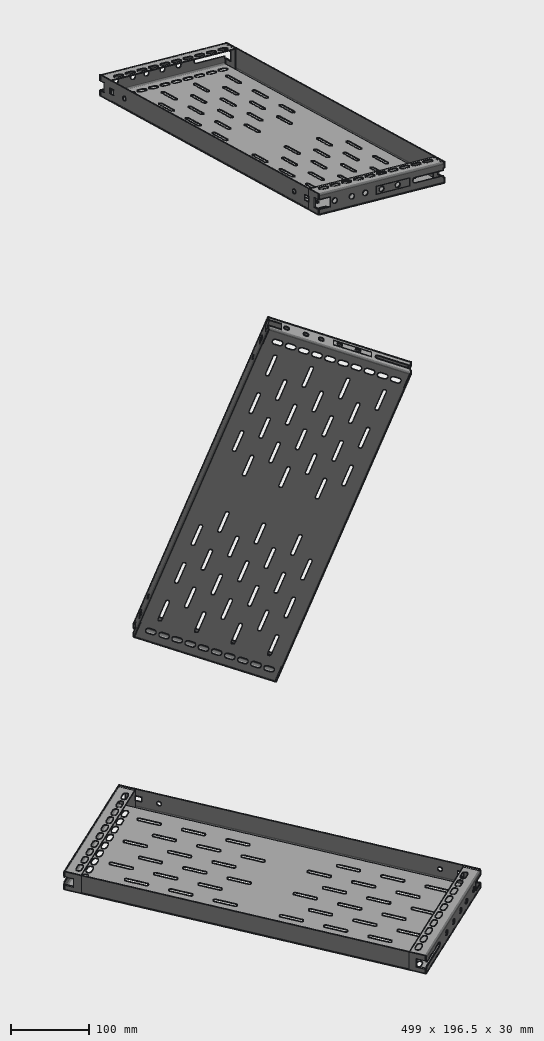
import cadquery as cq
total_length = 499.0
width = 196.5
height = 30.0
sheet = 1.2
bend_outer_radius = 2.0
bend_inner_radius = bend_outer_radius - sheet
mid_z = height / 2

plate_thickness = 0.5
plate_length = 52.0
plate_height = 11.0
plate_center_y = 17.0

length = total_length - plate_thickness
half_length = length / 2
inner_width = width - 2 * sheet
flange_width = 24.0
flap_width = 24.5
wall_setback = 1.0
flange_drop = 0.5
overcut = 5.0

flange_slot_count = 10
flange_slot_pitch = 18.0
flange_slot_length = 14.0
flange_slot_width = 7.5
flange_slot_inset = 16.5
flange_slot_center_y = 1.5

floor_slot_length = 33.0
floor_slot_width = 5.0
floor_slot_pitch = 61.0
floor_slot_columns = 3
floor_row_pitch = 25.0
floor_row_count = 7
outer_column_x = 197.5

end_hole_diameter = 7.5
end_hole_positions_y = (24.5, -0.5, -25.5, -46.5, -73.0)
end_slot_height = 7.5
end_slot_inner_y = 48.5
corner_notch_height = 13.5
front_notch_depth_x = 10.5
rear_notch_depth_x = 14.0
front_notch_depth_y = 18.5

window_width = 9.0
window_height = 7.5
window_inset = 28.0
side_hole_diameter = 6.5
side_hole_inset = 56.5


def box_between(x_range, y_range, z_range):
    """Box spanning the given (low, high) range along each axis."""
    size = [high - low for low, high in (x_range, y_range, z_range)]
    corner = (x_range[0], y_range[0], z_range[0])
    return cq.Workplane("XY").box(*size, centered=False).translate(corner)


def centered_block(size_x, size_y, size_z, base_z=0):
    """Block centered in X and Y, standing on the level base_z."""
    block = cq.Workplane("XY").box(size_x, size_y, size_z, centered=(True, True, False))
    return block.translate((0, 0, base_z))


def make_channel():
    """Floor and two side walls, bent along the long lower edges and set back from the end walls."""
    channel_length = length - 2 * wall_setback
    outer = centered_block(channel_length, width, height)
    outer = outer.edges("|X and <Z").fillet(bend_outer_radius)
    cavity = centered_block(channel_length, inner_width, height, sheet)
    cavity = cavity.edges("|X and <Z").fillet(bend_inner_radius)
    return outer.cut(cavity)


def make_folded_ends():
    """Floor, end walls and inward top flanges, folded in one strip between the side walls."""
    fold_height = height - flange_drop
    outer = centered_block(length, inner_width, fold_height)
    outer = outer.edges("|Y").fillet(bend_outer_radius)
    cavity = centered_block(length - 2 * sheet, inner_width, fold_height - 2 * sheet, sheet)
    cavity = cavity.edges("|Y").fillet(bend_inner_radius)
    opening = centered_block(length - 2 * flange_width, inner_width, height, mid_z)
    return outer.cut(cavity).cut(opening)


def make_end_trim():
    """Space outside the floor bends at both ends, between the side walls."""
    block = centered_block(length, inner_width, mid_z)
    return block.cut(block.edges("|Y and <Z").fillet(bend_outer_radius))


def make_flaps():
    """Flaps of the end walls lying against the inside of the side walls."""
    flap_height = height - flange_drop - bend_outer_radius
    flap_x = (half_length - flap_width, half_length - bend_outer_radius)
    flap_y = (inner_width / 2 - sheet, inner_width / 2)
    flap = box_between(flap_x, flap_y, (bend_inner_radius, bend_inner_radius + flap_height))
    pair = flap.union(flap.mirror("XZ"))
    return pair.union(pair.mirror("YZ"))


def make_plate():
    """Raised plate on the +X end wall."""
    plate = cq.Workplane("XY").box(plate_thickness, plate_length, plate_height)
    return plate.translate((half_length + plate_thickness / 2, plate_center_y, mid_z))


def flange_slots():
    """Rows of slots passing down through both end flanges and the floor."""
    first_y = flange_slot_center_y - (flange_slot_count - 1) * flange_slot_pitch / 2
    points = [
        (side * (half_length - flange_slot_inset), first_y + index * flange_slot_pitch)
        for side in (-1, 1)
        for index in range(flange_slot_count)
    ]
    slots = cq.Workplane("XY").pushPoints(points)
    return slots.slot2D(flange_slot_length, flange_slot_width, 90).extrude(height)


def floor_slots():
    """Staggered rows of slots through the floor."""
    points = []
    for row in range(floor_row_count):
        y = (row - (floor_row_count - 1) / 2) * floor_row_pitch
        stagger = (row % 2) * floor_slot_pitch / 2
        for column in range(floor_slot_columns):
            x = outer_column_x - stagger - column * floor_slot_pitch
            points += [(x, y), (-x, y)]
    return cq.Workplane("XY").pushPoints(points).slot2D(floor_slot_length, floor_slot_width).extrude(mid_z)


def end_wall_openings():
    """Round holes and the open-ended slot, running through both end walls."""
    points = [(y, mid_z) for y in end_hole_positions_y]
    holes = cq.Workplane("YZ").pushPoints(points).circle(end_hole_diameter / 2)
    holes = holes.extrude(total_length, both=True)
    slot_length = 2 * (inner_width / 2 - end_slot_inner_y)
    slot = cq.Workplane("YZ").center(inner_width / 2, mid_z).slot2D(slot_length, end_slot_height)
    slot = slot.extrude(total_length, both=True)
    inside_side_wall = box_between(
        (-total_length, total_length), (0, inner_width / 2 - sheet), (0, height)
    )
    return holes.union(slot.intersect(inside_side_wall))


def corner_notches():
    """Openings around the vertical corners of the tray."""
    z_range = (mid_z - corner_notch_height / 2, mid_z + corner_notch_height / 2)
    front_y = -width / 2
    rear_y = width / 2
    wall_and_flap = 2 * sheet
    front_x = (half_length - front_notch_depth_x, half_length)
    rear_x = (half_length - rear_notch_depth_x, half_length)
    front_notch = box_between(front_x, (front_y, front_y + front_notch_depth_y), z_range)
    rear_notch = box_between(rear_x, (rear_y - wall_and_flap, rear_y), z_range)
    notches = front_notch.union(rear_notch)
    return notches.union(notches.mirror("YZ"))


def side_wall_openings():
    """Square windows and round holes through the -Y side wall."""
    wall_plane = cq.Workplane("XZ", origin=(0, -width / 2 + sheet, mid_z))
    window_points = [(side * (half_length - window_inset), 0) for side in (-1, 1)]
    hole_points = [(side * (half_length - side_hole_inset), 0) for side in (-1, 1)]
    windows = wall_plane.pushPoints(window_points).rect(window_width, window_height).extrude(overcut)
    holes = wall_plane.pushPoints(hole_points).circle(side_hole_diameter / 2).extrude(overcut)
    return windows.union(holes)


result = make_channel().cut(make_end_trim()).union(make_folded_ends()).union(make_flaps())
result = result.union(make_plate())
for openings in (flange_slots, floor_slots, end_wall_openings, corner_notches, side_wall_openings):
    result = result.cut(openings())